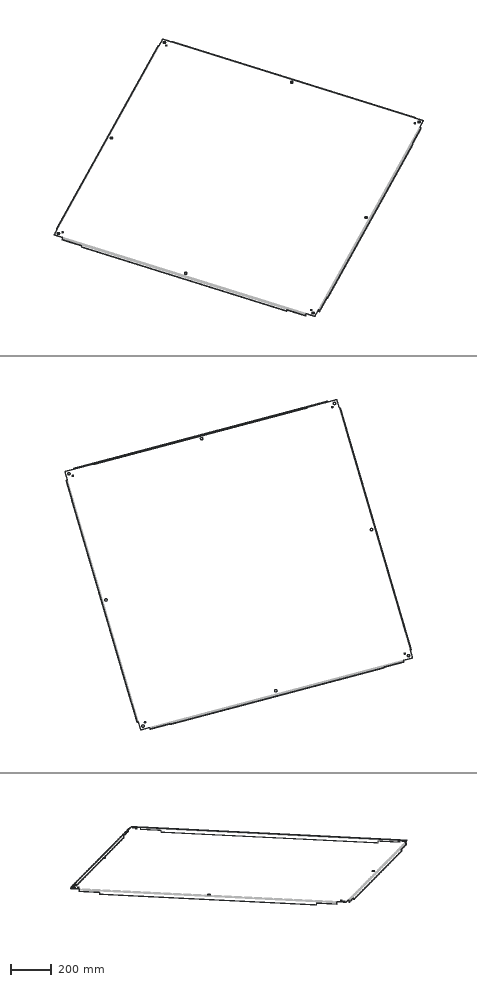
import cadquery as cq

side = 1421.0
height = 23.0
sheet = 3.0
bend_radius = 2 * sheet

flange_length = 1315.0
flange_drop = 13.5
tab_length = 1108.0

mount_offset = 688.0
mount_diameter = 12.6
pilot_offset = 672.0
pilot_diameter = 7.0

half_side = side / 2
inner_radius = bend_radius - sheet
plate_side = side - 2 * bend_radius


def make_plate():
    """Flat square plate that ends where the bends start; its corners stay flat."""
    plate = cq.Workplane("XY").box(plate_side, plate_side, sheet, centered=(True, True, False))
    return plate.translate((0, 0, -sheet))


def make_flange():
    """Bend and flange along the -Y side, with the ends cut shallower than the middle tab."""
    bend_start = -plate_side / 2
    outer_face = -half_side
    inner_face = outer_face + sheet
    strip = (
        cq.Workplane("YZ")
        .workplane(offset=-flange_length / 2)
        .moveTo(bend_start, 0)
        .radiusArc((outer_face, -bend_radius), -bend_radius)
        .lineTo(outer_face, -height)
        .lineTo(inner_face, -height)
        .lineTo(inner_face, -bend_radius)
        .radiusArc((bend_start, -sheet), inner_radius)
        .close()
        .extrude(flange_length)
    )
    end_length = (flange_length - tab_length) / 2
    end_center = (flange_length + tab_length) / 4
    return (
        strip.cut(make_end_cutter(end_length, end_center))
        .cut(make_end_cutter(end_length, -end_center))
    )


def make_end_cutter(length, center_x):
    """Block that removes one flange end below the shallow edge."""
    cutter = cq.Workplane("XY").box(length, 2 * bend_radius, height - flange_drop)
    return cutter.translate((center_x, -half_side, -(height + flange_drop) / 2))


def corner_points(offset):
    return [(x, y) for x in (-offset, offset) for y in (-offset, offset)]


def mid_side_points(offset):
    return [(offset, 0), (-offset, 0), (0, offset), (0, -offset)]


def make_holes(points, diameter):
    """Cylinders that pass through the plate thickness."""
    return cq.Workplane("XY").pushPoints(points).circle(diameter / 2).extrude(-sheet)


result = make_plate()
flange = make_flange()
for quarter_turn in range(4):
    result = result.union(flange.rotate((0, 0, 0), (0, 0, 1), 90 * quarter_turn))

mount_points = corner_points(mount_offset) + mid_side_points(mount_offset)
result = result.cut(make_holes(mount_points, mount_diameter))
result = result.cut(make_holes(corner_points(pilot_offset), pilot_diameter))